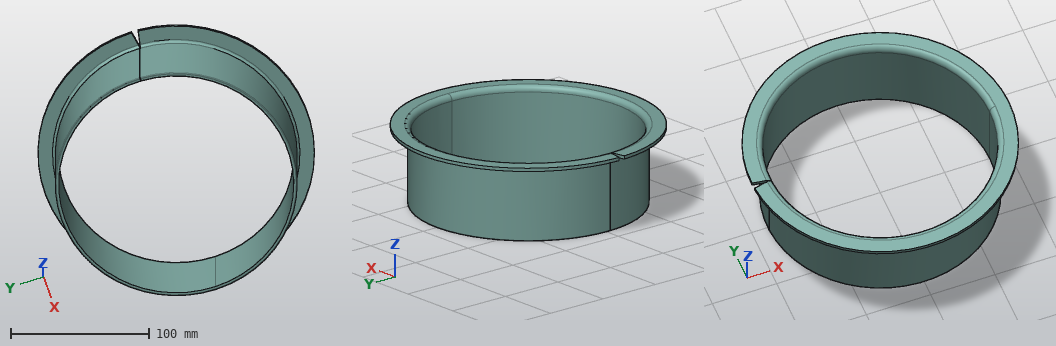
import cadquery as cq

flange_diameter = 200.0
sleeve_diameter = 175.0
bore_diameter = 170.0
height = 60.0
inside_bend_radius = 2.0
rim_fillet = 0.5
slit_width = 0.5
notch_mouth = 5.0
split_angle = 2.0
cut_overrun = 4.0

flange_radius = flange_diameter / 2
sleeve_radius = sleeve_diameter / 2
bore_radius = bore_diameter / 2
sheet = sleeve_radius - bore_radius
outside_bend_radius = inside_bend_radius + sheet
bend_center_radius = sleeve_radius + inside_bend_radius
bend_center_z = height - outside_bend_radius


def bend_point(radius):
    """Middle of a quarter-round bend between the sleeve and the flange."""
    offset = radius * 0.5**0.5
    return (bend_center_radius - offset, bend_center_z + offset)


def flanged_sleeve():
    """Revolve the sheet section: upright sleeve, rolled bend and flat flange."""
    section = (
        cq.Workplane("XZ")
        .moveTo(bore_radius, 0)
        .lineTo(bore_radius, bend_center_z)
        .threePointArc(bend_point(outside_bend_radius), (bend_center_radius, height))
        .lineTo(flange_radius, height)
        .lineTo(flange_radius, height - sheet)
        .lineTo(bend_center_radius, height - sheet)
        .threePointArc(bend_point(inside_bend_radius), (sleeve_radius, bend_center_z))
        .lineTo(sleeve_radius, 0)
        .close()
    )
    body = section.revolve(360, (0, 0, 0), (0, 1, 0))
    outer_rim = cq.selectors.RadiusNthSelector(-1)
    return body.faces("<Z").edges(outer_rim).fillet(rim_fillet)


def split_cutter():
    """Narrow slit through the sleeve that widens into a V across the flange."""
    slit_half = slit_width / 2
    spread = (notch_mouth / 2 - slit_half) / (flange_radius - sleeve_radius)
    outer_end = flange_radius + cut_overrun
    inner_end = bore_radius - cut_overrun
    outer_half = slit_half + spread * (outer_end - sleeve_radius)
    return (
        cq.Workplane("XY")
        .polyline([
            (-inner_end, slit_half),
            (-sleeve_radius, slit_half),
            (-outer_end, outer_half),
            (-outer_end, -outer_half),
            (-sleeve_radius, -slit_half),
            (-inner_end, -slit_half),
        ])
        .close()
        .extrude(height)
        .rotate((0, 0, 0), (0, 0, 1), split_angle)
    )


result = flanged_sleeve().cut(split_cutter())